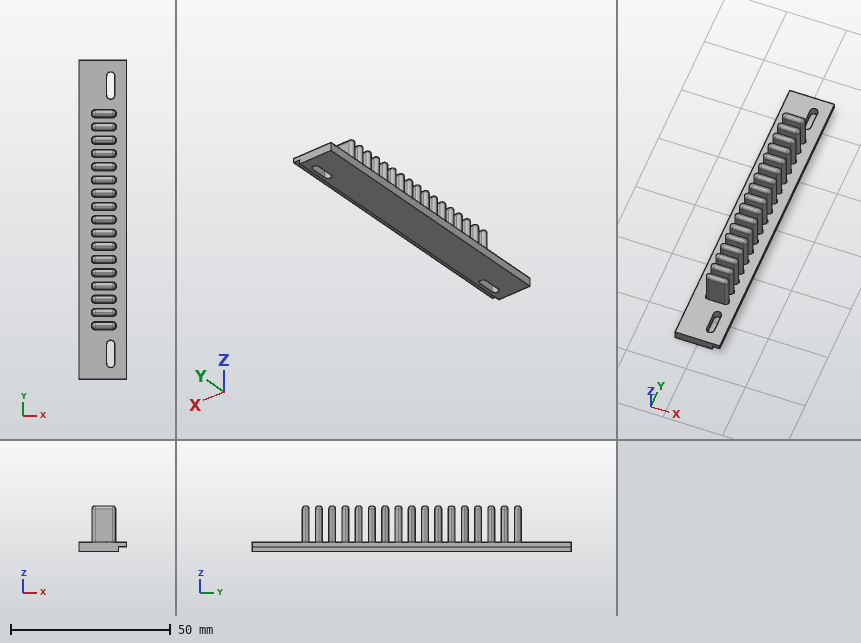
import cadquery as cq

plate_width = 15.0
plate_length = 100.0
plate_thickness = 3.0
step_width = 2.5
step_height = 1.5

slot_width = 2.5
slot_length = 8.5
slot_x = 10.0
slot_spacing = 84.0

total_height = 14.4
tab_count = 17
tab_row_length = 66.4
tab_pitch = tab_row_length / (tab_count - 1)
tab_length = 7.5
tab_thickness = 2.2
tab_start_x = 4.1
tab_x = tab_start_x + tab_length / 2
flat_width = 0.02
end_radius = (tab_thickness - flat_width) / 2
crest_radius = end_radius - flat_width / 2

groove_width = 0.2
groove_depth = 1.5
pocket_length = tab_length + 2 * groove_width
pocket_width = tab_thickness + 2 * groove_width
pocket_floor = plate_thickness - groove_depth


def make_plate():
    """Plate lying on Z = 0 with its -X side on X = 0, stepped along +X."""
    plate = cq.Workplane("XY").box(
        plate_width, plate_length, plate_thickness, centered=(False, True, False)
    )
    step = cq.Workplane("XY", origin=(plate_width - step_width, 0, 0)).box(
        step_width, plate_length, step_height, centered=(False, True, False)
    )
    return plate.cut(step)


def cut_mounting_slots(plate):
    """Elongated through slots running along Y."""
    slots = (
        cq.Workplane("XY", origin=(slot_x, 0, 0))
        .rarray(1, slot_spacing, 1, 2)
        .slot2D(slot_length, slot_width, 90)
        .extrude(plate_thickness)
    )
    return plate.cut(slots)


def cut_tab_pockets(plate):
    """Round-ended blind pockets, one for each tab."""
    pockets = (
        cq.Workplane("XY", origin=(tab_x, 0, pocket_floor))
        .rarray(1, tab_pitch, 1, tab_count)
        .slot2D(pocket_length, pocket_width)
        .extrude(groove_depth)
    )
    return plate.cut(pockets)


def make_tab(y):
    """Tab rising from the pocket floor, rounded at its ends and crest."""
    tab = cq.Workplane("XY", origin=(tab_x, y, pocket_floor)).box(
        tab_length, tab_thickness, total_height - pocket_floor, centered=(True, True, False)
    )
    return tab.edges("|Z").fillet(end_radius).faces(">Z").edges().fillet(crest_radius)


result = cut_tab_pockets(cut_mounting_slots(make_plate()))
for index in range(tab_count):
    tab_y = index * tab_pitch - tab_row_length / 2
    result = result.union(make_tab(tab_y))